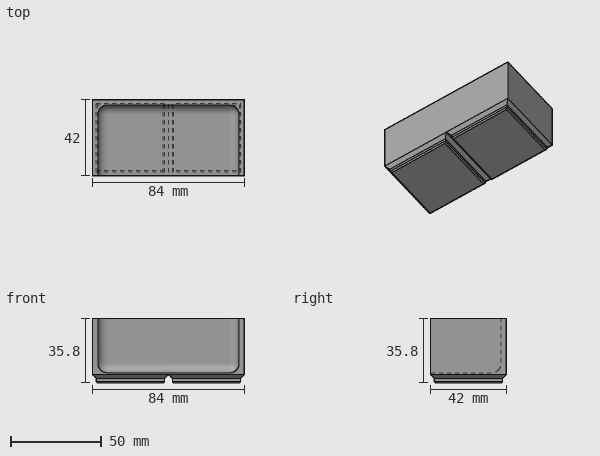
import cadquery as cq

length = 84.0
width = 42.0
height = 35.8
foot_count = 2
foot_pitch = length / foot_count

toe_chamfer = 0.8
foot_straight = 1.85
shoulder_chamfer = 2.1
foot_height = toe_chamfer + foot_straight + shoulder_chamfer

wall = 3.0
floor_top = 5.7
cavity_radius = 5.0


def make_flare(bottom_length, bottom_width, rise):
    """Square-cornered slab standing on XY whose four sides slope outward at 45 degrees."""
    return (
        cq.Workplane("XY")
        .rect(bottom_length, bottom_width)
        .workplane(offset=rise)
        .rect(bottom_length + 2 * rise, bottom_width + 2 * rise)
        .loft(ruled=True)
    )


def make_foot(x_center):
    """Square foot that widens in steps to the full pitch where it meets the body."""
    pad_length = foot_pitch - 2 * shoulder_chamfer
    pad_width = width - 2 * shoulder_chamfer
    toe_length = pad_length - 2 * toe_chamfer
    toe_width = pad_width - 2 * toe_chamfer
    toe = make_flare(toe_length, toe_width, toe_chamfer)
    pad = toe.faces(">Z").workplane().rect(pad_length, pad_width).extrude(foot_straight)
    shoulder = make_flare(pad_length, pad_width, shoulder_chamfer)
    shoulder = shoulder.translate((0, 0, toe_chamfer + foot_straight))
    return pad.union(shoulder).translate((x_center, 0, 0))


def make_cavity():
    """Rounded pocket that runs out through the front and the top."""
    cavity_length = length - 2 * wall
    cavity_depth = 2 * width
    cavity_height = 2 * height
    back_y = width / 2 - wall
    return (
        cq.Workplane("XY")
        .box(cavity_length, cavity_depth, cavity_height, centered=(True, False, False))
        .translate((0, back_y - cavity_depth, floor_top))
        .edges("(|Z and >Y) or <Z")
        .edges("not <Y")
        .fillet(cavity_radius)
    )


body = (
    cq.Workplane("XY")
    .box(length, width, height - foot_height, centered=(True, True, False))
    .translate((0, 0, foot_height))
)
for index in range(foot_count):
    body = body.union(make_foot((index - (foot_count - 1) / 2) * foot_pitch))

result = body.cut(make_cavity())